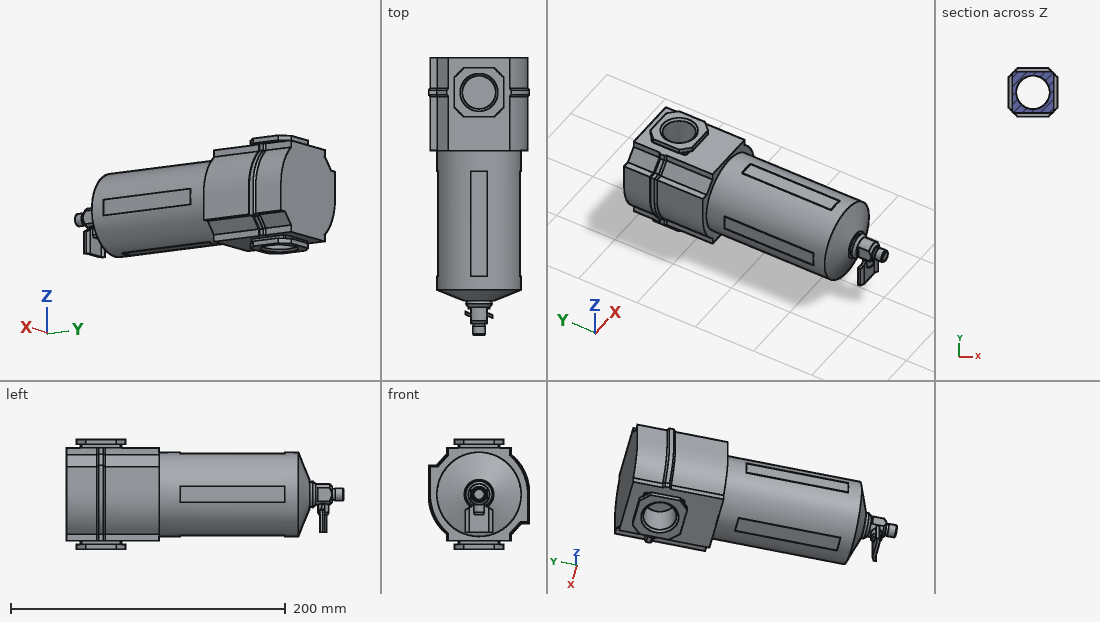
import cadquery as cq
import math


total_length = 202.0
port_station = 25.2
head_length = 67.6
bowl_shoulder = 169.0
bowl_end = 177.0

head_half_height = 34.0
neck_half_width = 22.2
neck_end_height = 28.9
pad_half_width = 35.5
pad_height = 20.0
bevel_width = 8.0
rib_height = 1.2
rib_base_width = 6.3
rib_crest_width = 3.2

port_face_height = 40.0
flange_thickness = 3.6
flange_width = 35.7
flange_corner = 6.9
port_neck_width = 30.3
port_neck_corner = 1.2
bore_radius = 12.1
bore_chamfer = 1.6
bore_depth = 24.2

bowl_radius = 30.7
cone_tip_radius = 10.7
window_width = 11.7
window_start = 82.8
window_end = 159.0
window_floor_radius = 29.7

collar_base_radius = 8.7
collar_radius = 9.7
collar_rise = 2.2
collar_length = 4.6
stem_radius = 7.7
stem_end = 193.6
stem_chamfer = 2.0
stem_flat_width = 12.0
stem_flat_start = 183.0
groove_radius = 4.2
groove_length = 2.0
tip_radius = 4.6
tip_chamfer = 0.8
spindle_station = 187.2
spindle_radius = 4.0
spindle_reach = 15.0
spindle_chamfer_width = 1.0
spindle_chamfer_height = 1.8
wing_half_width = 10.0
wing_bend = 7.0
wing_offset = 1.5
wing_thickness = 2.2
wing_bottom = 27.7
wing_corner_height = 11.5
wing_top = 6.9
wing_top_half_width = 3.0


def along(station):
    """Y position of a station measured from the back of the head."""
    return port_station - station


def head_outline(y, growth):
    """Closed head outline in the plane at y, its sides moved outward by growth.

    The outline maps onto itself under a half turn: a bevelled pad on one side faces
    a round flank on the other. The flat top and bottom stay in place.
    """
    neck_x = neck_half_width + growth
    pad_x = pad_half_width + growth
    pad_z = pad_height + growth
    bevel_slope = (neck_end_height - pad_height) / bevel_width
    neck_z = neck_end_height + growth * (math.hypot(1, bevel_slope) - bevel_slope)
    corner_x = neck_x + (neck_z - pad_z) / bevel_slope
    flank_start = growth
    flank_drop = neck_end_height - flank_start
    rise = pad_x - neck_x
    flank_radius = (rise**2 + flank_drop**2) / (2 * rise)
    half_angle = math.asin(flank_drop / flank_radius) / 2
    mid_x = pad_x - flank_radius * (1 - math.cos(half_angle))
    mid_z = flank_start + flank_radius * math.sin(half_angle)
    return (
        cq.Workplane("XZ", origin=(0, y, 0))
        .moveTo(-neck_x, head_half_height)
        .lineTo(-neck_x, neck_z)
        .lineTo(-corner_x, pad_z)
        .lineTo(-pad_x, pad_z)
        .lineTo(-pad_x, -flank_start)
        .threePointArc((-mid_x, -mid_z), (-neck_x, -neck_end_height))
        .lineTo(-neck_x, -head_half_height)
        .lineTo(neck_x, -head_half_height)
        .lineTo(neck_x, -neck_z)
        .lineTo(corner_x, -pad_z)
        .lineTo(pad_x, -pad_z)
        .lineTo(pad_x, flank_start)
        .threePointArc((mid_x, mid_z), (neck_x, neck_end_height))
        .lineTo(neck_x, head_half_height)
        .close()
    )


def rib_side(y_base, y_crest):
    """Sloping side of the rib, from the head outline out to the raised outline."""
    base = head_outline(y_base, 0).wires().val()
    crest = head_outline(y_crest, rib_height).wires().val()
    return cq.Workplane(cq.Solid.makeLoft([base, crest], True))


def make_rib():
    """Ridge around both sides of the head, in line with the port axis."""
    crest = head_outline(rib_crest_width / 2, rib_height).extrude(rib_crest_width)
    back = rib_side(rib_base_width / 2, rib_crest_width / 2)
    front = rib_side(-rib_base_width / 2, -rib_crest_width / 2)
    return crest.union(back).union(front)


def make_port():
    """Square neck and eight-sided flange of the upper port."""
    neck_height = port_face_height - flange_thickness - head_half_height
    neck = (
        cq.Workplane("XY", origin=(0, 0, head_half_height))
        .rect(port_neck_width, port_neck_width)
        .extrude(neck_height)
        .edges("|Z")
        .chamfer(port_neck_corner)
    )
    flange = (
        cq.Workplane("XY", origin=(0, 0, port_face_height - flange_thickness))
        .rect(flange_width, flange_width)
        .extrude(flange_thickness)
        .edges("|Z")
        .chamfer(flange_corner)
    )
    return neck.union(flange)


def make_port_bore():
    """Blind bore of the upper port, with its chamfered mouth."""
    mouth_radius = bore_radius + bore_chamfer
    return (
        cq.Workplane("XZ")
        .moveTo(0, port_face_height)
        .lineTo(mouth_radius, port_face_height)
        .lineTo(bore_radius, port_face_height - bore_chamfer)
        .lineTo(bore_radius, port_face_height - bore_depth)
        .lineTo(0, port_face_height - bore_depth)
        .close()
        .revolve(360, (0, 0, 0), (0, 1, 0))
    )


def make_head():
    head = head_outline(along(0), 0).extrude(head_length).union(make_rib())
    for turn in (0, 180):
        head = head.union(make_port().rotate((0, 0, 0), (0, 1, 0), turn))
        head = head.cut(make_port_bore().rotate((0, 0, 0), (0, 1, 0), turn))
    return head


def make_bowl():
    bowl = (
        cq.Workplane("XY")
        .moveTo(0, along(head_length))
        .lineTo(bowl_radius, along(head_length))
        .lineTo(bowl_radius, along(bowl_shoulder))
        .lineTo(cone_tip_radius, along(bowl_end))
        .lineTo(0, along(bowl_end))
        .close()
        .revolve(360, (0, 0, 0), (0, 1, 0))
    )
    window = cq.Workplane("XY").box(
        window_width,
        window_end - window_start,
        bowl_radius - window_floor_radius,
        centered=(True, False, False),
    ).translate((0, along(window_end), window_floor_radius))
    for turn in (0, 90, 180, 270):
        bowl = bowl.cut(window.rotate((0, 0, 0), (0, 1, 0), turn))
    return bowl


def make_drain_stem():
    """Turned collar, stem and tip, with two flats on the stem."""
    collar_end = bowl_end + collar_length
    tip_start = stem_end + groove_length
    stem = (
        cq.Workplane("XY")
        .moveTo(0, along(bowl_end))
        .lineTo(collar_base_radius, along(bowl_end))
        .lineTo(collar_radius, along(bowl_end + collar_rise))
        .lineTo(stem_radius, along(collar_end))
        .lineTo(stem_radius, along(stem_end - stem_chamfer))
        .lineTo(stem_radius - stem_chamfer, along(stem_end))
        .lineTo(groove_radius, along(stem_end))
        .lineTo(groove_radius, along(tip_start))
        .lineTo(tip_radius, along(tip_start))
        .lineTo(tip_radius, along(total_length - tip_chamfer))
        .lineTo(tip_radius - tip_chamfer, along(total_length))
        .lineTo(0, along(total_length))
        .close()
        .revolve(360, (0, 0, 0), (0, 1, 0))
    )
    flat_length = stem_end - stem_flat_start
    for side in (-1, 1):
        flat_cut = cq.Workplane("XY").box(stem_radius, flat_length, 2 * stem_radius).translate(
            (side * (stem_flat_width + stem_radius) / 2, along(stem_flat_start + flat_length / 2), 0)
        )
        stem = stem.cut(flat_cut)
    return stem


def make_spindle():
    """Cross spindle that points down from the stem and carries the wing."""
    return (
        cq.Workplane("XY", origin=(0, along(spindle_station), 0))
        .circle(spindle_radius)
        .extrude(-spindle_reach)
        .faces("<Z")
        .edges()
        .chamfer(spindle_chamfer_height, spindle_chamfer_width)
    )


def make_wing():
    """Thumb wing: a plate with its two edges bent opposite ways and its top corners sloped."""
    half = wing_thickness / 2
    section = (
        cq.Workplane("XY", origin=(0, along(spindle_station), 0))
        .moveTo(-wing_half_width, wing_offset + half)
        .lineTo(-wing_bend, half)
        .lineTo(wing_bend, half)
        .lineTo(wing_half_width, half - wing_offset)
        .lineTo(wing_half_width, -half - wing_offset)
        .lineTo(wing_bend, -half)
        .lineTo(-wing_bend, -half)
        .lineTo(-wing_half_width, wing_offset - half)
        .close()
        .extrude(-wing_bottom)
    )
    face_outline = (
        cq.Workplane("XZ", origin=(0, along(spindle_station), 0))
        .moveTo(-wing_half_width, -wing_bottom)
        .lineTo(wing_half_width, -wing_bottom)
        .lineTo(wing_half_width, -wing_corner_height)
        .lineTo(wing_top_half_width, -wing_top)
        .lineTo(-wing_top_half_width, -wing_top)
        .lineTo(-wing_half_width, -wing_corner_height)
        .close()
        .extrude(wing_half_width, both=True)
    )
    return section.intersect(face_outline)


def make_drain_cock():
    return make_drain_stem().union(make_spindle()).union(make_wing())


head = make_head()
bowl = make_bowl()
drain_cock = make_drain_cock()

bodies = [head, bowl, drain_cock]
result = cq.Compound.makeCompound([body.solids().val() for body in bodies])